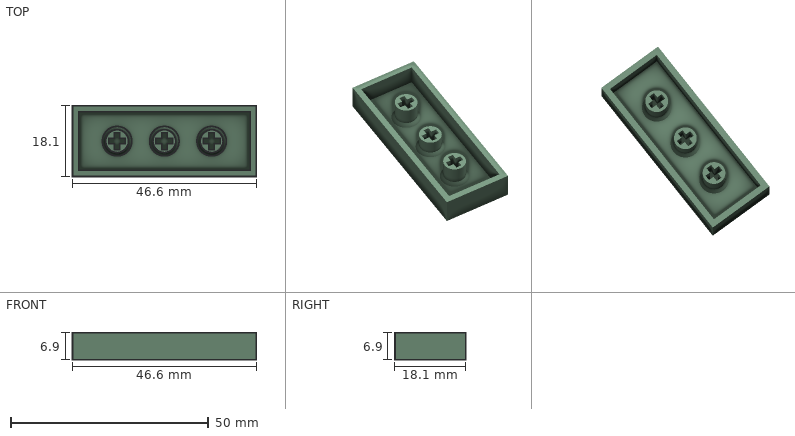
import cadquery as cq

length = 46.6
width = 18.05
height = 6.9
wall = 1.6
floor_thickness = 1.5

stem_count = 3
stem_spacing = 12.0
stem_diameter = 5.8
outer_stem_top = height
middle_stem_drop = 1.0
flare = 0.85

cross_span = 4.25
cross_arm_width = 1.45


def make_tray():
    block = cq.Workplane("XY").box(length, width, height, centered=(True, True, False))
    cavity = (
        cq.Workplane("XY")
        .workplane(offset=floor_thickness)
        .rect(length - 2 * wall, width - 2 * wall)
        .extrude(height - floor_thickness)
    )
    return block.cut(cavity)


def make_stem(stem_top):
    """Revolve the stem and its conical foot about the Z axis."""
    radius = stem_diameter / 2
    return (
        cq.Workplane("XZ")
        .moveTo(0, floor_thickness)
        .lineTo(radius + flare, floor_thickness)
        .lineTo(radius, floor_thickness + flare)
        .lineTo(radius, stem_top)
        .lineTo(0, stem_top)
        .close()
        .revolve(360, (0, 0, 0), (0, 1, 0))
    )


def make_socket(stem_top):
    socket_depth = stem_top - floor_thickness
    top_plane = cq.Workplane("XY").workplane(offset=stem_top)
    arm_x = top_plane.rect(cross_span, cross_arm_width).extrude(-socket_depth)
    arm_y = top_plane.rect(cross_arm_width, cross_span).extrude(-socket_depth)
    return arm_x.union(arm_y)


result = make_tray()
middle_index = (stem_count - 1) / 2
for index in range(stem_count):
    stem_x = (index - middle_index) * stem_spacing
    is_middle = index == middle_index
    stem_top = outer_stem_top - middle_stem_drop if is_middle else outer_stem_top
    result = result.union(make_stem(stem_top).translate((stem_x, 0, 0)))
    result = result.cut(make_socket(stem_top).translate((stem_x, 0, 0)))